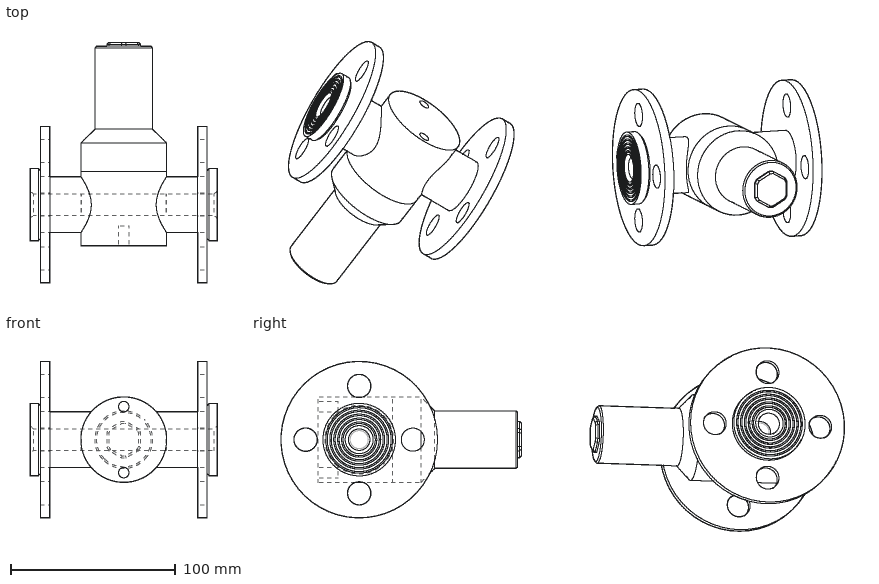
import cadquery as cq
import math


face_to_face = 113.6
body_dia = 52.0
body_foot_y = -25.0
body_top_y = 20.2
pipe_dia = 34.0
foot_hole_dia = 6.35
foot_hole_depth = 12.0
foot_hole_spacing = 40.0

collar_dia = 44.0
collar_thickness = 6.2
collar_chamfer = 1.2

groove_count = 5
groove_first_inner_dia = 19.55
groove_width = 0.9
groove_pitch = 2.4
groove_depth = 0.2

bore_dia = 13.0
bore_mouth_dia = 17.0
bore_mouth_depth = 2.0

plug_length = body_dia
plug_flat_dia = 11.0
plug_edge_rise = 0.25

flange_dia = 95.0
flange_thickness = 5.8
bolt_hole_dia = 14.0
bolt_hole_count = 4
bolt_circle_dia = 65.0

bonnet_shoulder_y = 37.4
bonnet_top_y = 45.8

actuator_dia = 35.0
actuator_end_y = 96.1
actuator_chamfer = 1.0

cap_end_y = 98.4
cap_across_flats = 20.5
cap_across_corners = 22.2
cap_edge_chamfer = 1.2

half_length = face_to_face / 2
collar_back_x = half_length - collar_thickness


def x_cylinder(diameter, x_start, x_end):
    return cq.Workplane("YZ").workplane(offset=x_start).circle(diameter / 2).extrude(x_end - x_start)


def y_cylinder(diameter, y_start, y_end):
    return cq.Workplane("XZ").workplane(offset=-y_start).circle(diameter / 2).extrude(y_start - y_end)


def on_both_sides(shape):
    return [shape, shape.mirror("YZ")]


def make_collar():
    collar = x_cylinder(collar_dia, collar_back_x, half_length)
    return collar.faces("<X").edges().chamfer(collar_chamfer)


def make_bore_mouth():
    profile = [
        (half_length - bore_mouth_depth, 0),
        (half_length - bore_mouth_depth, bore_dia / 2),
        (half_length, bore_mouth_dia / 2),
        (half_length, 0),
    ]
    return cq.Workplane("XY").polyline(profile).close().revolve(360, (0, 0), (1, 0))


def make_groove(index):
    inner_radius = groove_first_inner_dia / 2 + index * groove_pitch
    face = cq.Workplane("YZ").workplane(offset=half_length - groove_depth)
    return face.circle(inner_radius + groove_width).circle(inner_radius).extrude(groove_depth)


def make_body():
    body = y_cylinder(body_dia, body_foot_y, body_top_y)
    body = body.union(x_cylinder(pipe_dia, -half_length, half_length))
    for collar in on_both_sides(make_collar()):
        body = body.union(collar)
    body = body.cut(x_cylinder(bore_dia, -half_length, half_length))
    for mouth in on_both_sides(make_bore_mouth()):
        body = body.cut(mouth)
    for index in range(groove_count):
        for groove in on_both_sides(make_groove(index)):
            body = body.cut(groove)
    for side in (-1, 1):
        hole = y_cylinder(foot_hole_dia, body_foot_y, body_foot_y + foot_hole_depth)
        body = body.cut(hole.translate((0, 0, side * foot_hole_spacing / 2)))
    return body


def make_plug():
    half_plug = plug_length / 2
    profile = [
        (-half_plug, 0),
        (-half_plug, plug_flat_dia / 2),
        (-half_plug + plug_edge_rise, bore_dia / 2),
        (half_plug - plug_edge_rise, bore_dia / 2),
        (half_plug, plug_flat_dia / 2),
        (half_plug, 0),
    ]
    return cq.Workplane("XY").polyline(profile).close().revolve(360, (0, 0), (1, 0))


def make_flange():
    flange = x_cylinder(flange_dia, collar_back_x - flange_thickness, collar_back_x)
    return (
        flange.faces(">X").workplane(origin=(0, 0, 0)).hole(pipe_dia)
        .faces(">X").workplane(origin=(0, 0, 0))
        .polarArray(bolt_circle_dia / 2, 0, 360, bolt_hole_count).hole(bolt_hole_dia)
    )


def make_bonnet():
    profile = [
        (0, body_top_y),
        (body_dia / 2, body_top_y),
        (body_dia / 2, bonnet_shoulder_y),
        (actuator_dia / 2, bonnet_top_y),
        (0, bonnet_top_y),
    ]
    return cq.Workplane("XY").polyline(profile).close().revolve(360, (0, 0), (0, 1))


def make_actuator():
    actuator = y_cylinder(actuator_dia, bonnet_top_y, actuator_end_y)
    return actuator.faces(">Y").edges().chamfer(actuator_chamfer)


def make_cap():
    sharp_across_corners = cap_across_flats / math.cos(math.pi / 6)
    cap = (
        cq.Workplane("XZ").workplane(offset=-actuator_end_y)
        .polygon(6, sharp_across_corners).extrude(actuator_end_y - cap_end_y)
        .rotate((0, 0, 0), (0, 1, 0), 30)
    )
    cap = cap.intersect(y_cylinder(cap_across_corners, actuator_end_y, cap_end_y))
    return cap.faces(">Y").edges().chamfer(cap_edge_chamfer)


body = make_body()
plug = make_plug()
flanges = on_both_sides(make_flange())
bonnet = make_bonnet()
actuator = make_actuator()
cap = make_cap()

result = cq.Compound.makeCompound(
    [body.val(), plug.val(), *[flange.val() for flange in flanges], bonnet.val(), actuator.val(), cap.val()]
)